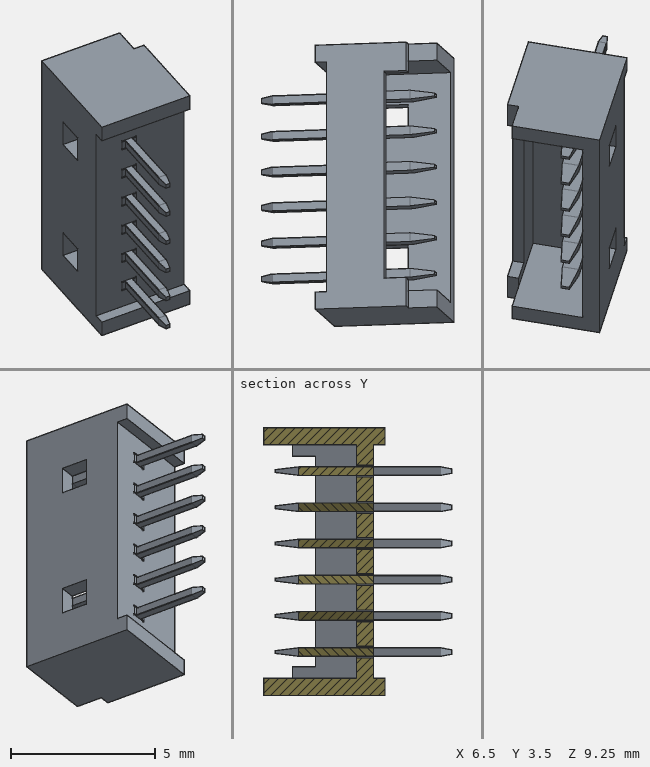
import cadquery as cq


height = 9.25
depth = 3.5
end_length = 4.2
foot_height = 0.4
rear_x = end_length - foot_height

wall = 0.6
latch_wall = 0.4
cavity_floor_x = rear_x - wall
cavity_depth = depth - wall - latch_wall

tab_setback = 1.0
latch_wall_setback = 1.785
tab_height = 1.0

window_size = 1.0
window_x = 1.5
window_end_distance = 1.665

pin_count = 6
pin_pitch = 1.25
pin_y = 1.31
pin_thickness = 0.305
first_pin_z = (height - (pin_count - 1) * pin_pitch) / 2

blade_width = 0.58
blade_tip_x = 0.4
blade_taper = 0.83
blade_tip_width = 0.3
blade_tip_thickness = 0.1

tail_end_x = 6.5
tail_edge_chamfer = 0.02
tail_taper = 0.4
tail_tip_size = 0.16

slot_height = 0.4


def box(x_start, y_start, z_start, x_size, y_size, z_size):
    """Axis-aligned box given by its lowest corner and its sizes."""
    return cq.Workplane("XY").box(x_size, y_size, z_size, centered=False).translate((x_start, y_start, z_start))


def straight_length(x_start, x_end, size, z):
    """Constant length of pin along X; size is (Y width, Z thickness)."""
    return cq.Workplane("YZ", origin=(x_start, pin_y, z)).rect(*size).extrude(x_end - x_start)


def tapered_length(x_start, x_end, start_size, end_size, z):
    """Tapered length of pin along X; each size is (Y width, Z thickness)."""
    return (
        cq.Workplane("YZ", origin=(x_start, pin_y, z))
        .rect(*start_size)
        .workplane(offset=x_end - x_start)
        .rect(*end_size)
        .loft(ruled=True)
    )


def make_housing(pin_heights):
    body = box(0, 0, 0, end_length, depth, height)

    body = body.cut(box(rear_x, 0, wall, foot_height, depth, height - 2 * wall))

    body = body.cut(box(0, wall, wall, cavity_floor_x, cavity_depth, height - 2 * wall))

    latch_wall_y = depth - latch_wall
    body = body.cut(box(0, latch_wall_y, 0, tab_setback, latch_wall, height))
    body = body.cut(
        box(0, latch_wall_y, tab_height, latch_wall_setback, latch_wall, height - 2 * tab_height)
    )

    for window_z in (window_end_distance, height - window_end_distance - window_size):
        body = body.cut(box(window_x, 0, window_z, window_size, wall, window_size))

    for z in pin_heights:
        slot = box(
            cavity_floor_x, pin_y - blade_width / 2, z - slot_height / 2,
            wall, blade_width, slot_height,
        )
        body = body.cut(slot)
    return body


def make_pin(z):
    """Flat tapered blade up to the rear face, then a square chamfered tail with a tapered tip."""
    blade_size = (blade_width, pin_thickness)
    blade_tip = (blade_tip_width, blade_tip_thickness)
    tail_size = (pin_thickness, pin_thickness)
    tail_tip = (tail_tip_size, tail_tip_size)
    blade_start_x = blade_tip_x + blade_taper
    tail_taper_x = tail_end_x - tail_taper

    blade_point = tapered_length(blade_tip_x, blade_start_x, blade_tip, blade_size, z)
    blade = straight_length(blade_start_x, rear_x, blade_size, z)
    tail = straight_length(rear_x, tail_taper_x, tail_size, z).edges("|X").chamfer(tail_edge_chamfer)
    tail_point = tapered_length(tail_taper_x, tail_end_x, tail_size, tail_tip, z)
    return blade.union(blade_point).union(tail).union(tail_point)


pin_heights = [first_pin_z + i * pin_pitch for i in range(pin_count)]
housing = make_housing(pin_heights)
pins = [make_pin(z) for z in pin_heights]

result = cq.Compound.makeCompound([housing.val(), *[pin.val() for pin in pins]])